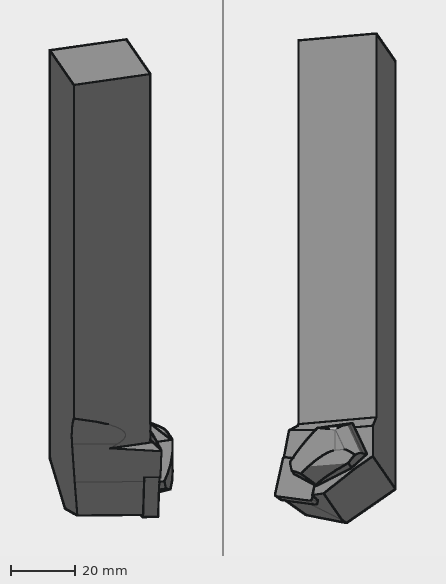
import cadquery as cq

length = 154.4
shank_side = 25.0
head_top = 29.5
clamp_top = 35.8
bottom_level = 1.5
past = 7.7

lean_x = 0.13
lean_z = -0.08
tool_axis = cq.Vector(lean_x, 1, lean_z)

heel_z = 11.7
toe = (15.7, 1.9)
flank_corner = (28.7, 5.7)
flank_bend = (26.0, 16.0)
relief_bottom = (23.2, 28.0)
relief_mid = (22.8, 31.6)
relief_top = (25.0, 37.8)

back_shoulder_z = 26.4
side_shoulder_z = 25.6

face_point = (26.4, 26.9, 9.3)

insert_side = 12.7
insert_thickness = 4.8
nose_radius = 0.6
tip = (32.5, 25.2, 3.1)
edge_x = -7.9
edge_z = -2.1
edge_y = -(lean_x * edge_x + lean_z * edge_z)
insert_plane = cq.Plane(origin=tip, xDir=(edge_x, edge_y, edge_z), normal=tool_axis.toTuple())

clamp_base = 25.5
clamp_left = 1.9
clamp_right = 26.7
clamp_low_left_z = 12.7
clamp_high_left = (6.5, 23.3)


def prism_y(outline, depth):
    """Straight prism from y = 0 towards +Y on an X-Z outline."""
    return cq.Workplane("XZ").polyline(outline).close().extrude(-depth)


def insert_block(bottom, top):
    """Square block over the insert, between two heights above its top face."""
    return (
        cq.Workplane(insert_plane).workplane(offset=bottom)
        .rect(insert_side, insert_side, centered=False).extrude(top - bottom)
    )


def make_leaning_profile():
    """Cutting flanks and chip relief, swept along the leaning tool axis."""
    slope = (flank_corner[1] - toe[1]) / (flank_corner[0] - toe[0])
    low_left = (-past, toe[1] - slope * (toe[0] + past))

    def profile(y):
        shift_x = lean_x * y
        shift_z = lean_z * y

        def at(point):
            return cq.Vector(point[0] + shift_x, y, point[1] + shift_z)

        corners = [
            relief_top, (relief_top[0], length + past), (-past, length + past), low_left,
            flank_corner, flank_bend, relief_bottom,
        ]
        edges = [cq.Edge.makeLine(at(a), at(b)) for a, b in zip(corners, corners[1:])]
        edges.append(cq.Edge.makeThreePointArc(at(corners[-1]), at(relief_mid), at(relief_top)))
        return cq.Wire.assembleEdges(edges)

    return cq.Workplane(cq.Solid.makeLoft([profile(0), profile(head_top)], True))


def make_holder_body():
    heel_slope = (toe[1] - heel_z) / toe[0]
    heel_end_x = (bottom_level - heel_z) / heel_slope
    wide = shank_side + past
    front_envelope = prism_y(
        [
            (0, heel_z), (heel_end_x, bottom_level), (wide, bottom_level),
            (wide, side_shoulder_z - past), (shank_side, side_shoulder_z), (shank_side, length), (0, length),
        ],
        head_top,
    )
    rise = head_top - shank_side
    side_envelope = (
        cq.Workplane("YZ")
        .polyline([
            (0, 0), (head_top, 0), (head_top, back_shoulder_z - rise),
            (shank_side, back_shoulder_z), (shank_side, length), (0, length),
        ])
        .close().extrude(wide)
    )
    face_plane = cq.Plane(origin=face_point, xDir=(edge_x, edge_y, edge_z), normal=tool_axis.toTuple())
    above_face = cq.Workplane(face_plane).rect(2 * length, 2 * shank_side).extrude(past)
    pocket = insert_block(-insert_thickness, past)
    body = make_leaning_profile().intersect(front_envelope).intersect(side_envelope)
    return body.cut(above_face).cut(pocket)


def make_clamp():
    """Clamping lug on the head: a faceted block rounded over towards +Y."""
    low_left = (clamp_left, clamp_low_left_z)
    footprint = prism_y(
        [low_left, clamp_high_left, (16.2, 20.8), (clamp_right, 12.4), (26.0, 9.3), (18.5, 4.3), (6.8, 8.5)],
        clamp_top + past,
    )
    end_run = clamp_high_left[0] - clamp_left
    end_rise = clamp_high_left[1] - clamp_low_left_z
    end_plane = cq.Plane(
        origin=(clamp_left, 0, clamp_low_left_z), xDir=(end_rise, 0, -end_run), normal=(end_run, 0, end_rise)
    )
    end_round = (
        cq.Workplane(end_plane)
        .moveTo(0, clamp_base).lineTo(0, head_top).lineTo(1.0, 31.6)
        .threePointArc((2.3, 34.5), (5.2, clamp_top))
        .lineTo(2 * shank_side, clamp_top).lineTo(2 * shank_side, clamp_base)
        .close().extrude(shank_side, both=True)
    )
    crown = (
        cq.Workplane("XY")
        .moveTo(0, clamp_base).lineTo(0, clamp_top).lineTo(9.5, clamp_top)
        .threePointArc((19.3, 34.0), (clamp_right, 29.0))
        .lineTo(clamp_right, clamp_base).close().extrude(shank_side)
    )
    flank = (
        cq.Workplane("YZ")
        .moveTo(clamp_base, 4.3).lineTo(28.3, 4.3)
        .threePointArc((33.2, 7.7), (clamp_top, 12.4))
        .lineTo(clamp_top, 18.5)
        .threePointArc((35.4, 20.2), (34.3, 21.0))
        .lineTo(29.8, clamp_high_left[1]).lineTo(clamp_base, clamp_high_left[1])
        .close().extrude(shank_side + past)
    )
    over_insert = insert_block(-insert_thickness, 0)
    return footprint.intersect(end_round).intersect(crown).intersect(flank).cut(over_insert)


def make_holder():
    return make_holder_body().union(make_clamp())


def make_insert():
    return insert_block(-insert_thickness, 0).edges(cq.selectors.ParallelDirSelector(tool_axis)).fillet(nose_radius)


holder = make_holder()
insert = make_insert()

result = cq.Compound.makeCompound([holder.val(), insert.val()])